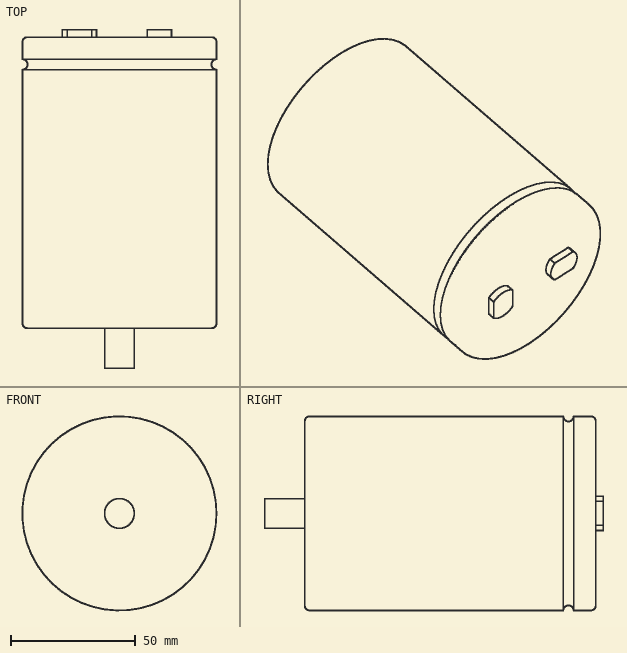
import cadquery as cq

overall_length = 136.0
stud_length = 16.0
terminal_height = 3.0
can_length = overall_length - stud_length - terminal_height

can_radius = 39.0
rim_radius = 2.0
groove_radius = 2.0
groove_setback = 11.0

stud_radius = 6.0

terminal_radius = 7.0
terminal_flat_width = 9.9
terminal_offset = 16.0


def cylinder_along_y(radius, start_y, length, x=0.0):
    """Cylinder growing toward +Y from start_y, with its axis at the given X."""
    return cq.Workplane("XZ", origin=(x, start_y, 0)).circle(radius).extrude(-length)


def make_can():
    """Can with rounded rims, its stud end at Y = 0 and its terminal end toward +Y."""
    return cylinder_along_y(can_radius, 0, can_length).edges().fillet(rim_radius)


def make_groove():
    """Ring of round section centred on the can's outer surface."""
    groove_y = can_length - groove_setback
    return (
        cq.Workplane("XY")
        .center(can_radius, groove_y)
        .circle(groove_radius)
        .revolve(360, (-can_radius, 0), (-can_radius, 1))
    )


def make_terminal(x, width_x, width_z):
    """Disc on the terminal end, trimmed to the given widths."""
    disc = cylinder_along_y(terminal_radius, can_length, terminal_height, x)
    trim = (
        cq.Workplane("XZ", origin=(x, can_length, 0))
        .rect(width_x, width_z)
        .extrude(-terminal_height)
    )
    return disc.intersect(trim)


terminal_diameter = 2 * terminal_radius

stud = cylinder_along_y(stud_radius, -stud_length, stud_length)
left_terminal = make_terminal(-terminal_offset, terminal_diameter, terminal_flat_width)
right_terminal = make_terminal(terminal_offset, terminal_flat_width, terminal_diameter)

result = make_can().cut(make_groove()).union(stud).union(left_terminal).union(right_terminal)